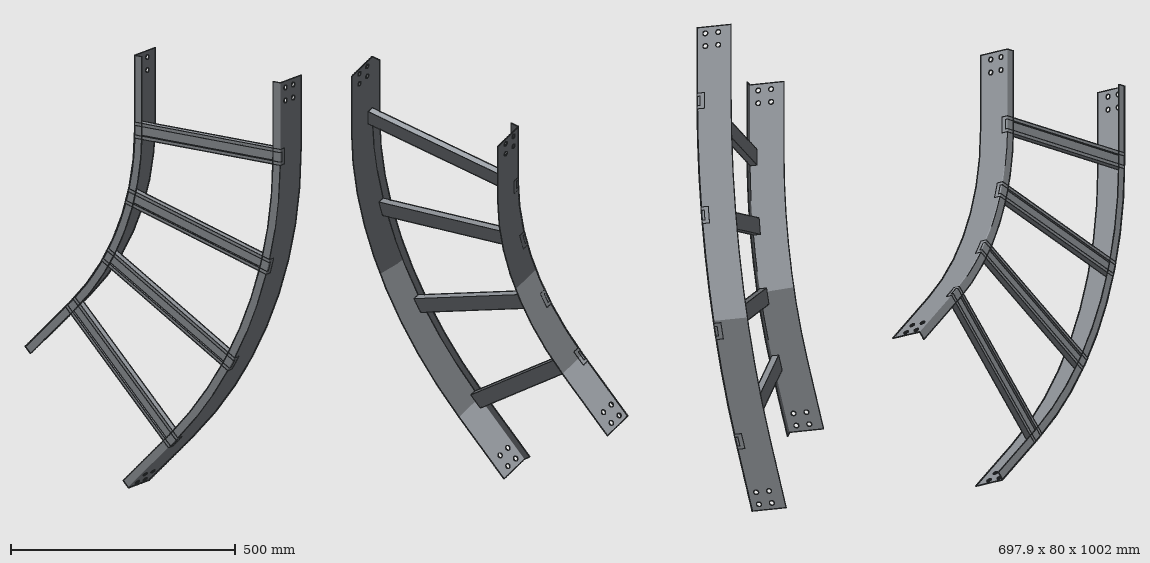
import cadquery as cq
import math

LENGTH_Z = 1002.0
BEND_ANGLE = 45.0
INNER_RADIUS = 600.0
TRAY_WIDTH = 400.0
OUTER_RADIUS = INNER_RADIUS + TRAY_WIDTH

BEND_SINE = math.sin(math.radians(BEND_ANGLE))
STRAIGHT_LENGTH = (LENGTH_Z - OUTER_RADIUS * BEND_SINE) / (1 + BEND_SINE)

RAIL_HEIGHT = 80.0
FLANGE_WIDTH = 21.0
SHEET = 1.5
FOLD_RADIUS = 2.0

RUNG_COUNT = 4
RUNG_WIDTH = 37.0
RUNG_DEPTH = 16.0
GROOVE_WIDTH = 22.0
GROOVE_DEPTH = 6.0

HOLE_DIAMETER = 11.0
HOLE_END_DISTANCES = (15.0, 45.0)
HOLE_HEIGHTS = (20.0, 50.0)

Y_AXIS = ((0, 0, 0), (0, 1, 0))


def turn(shape, angle):
    """Turn a shape about the bend axis, from +X towards -Z."""
    return shape.rotate(*Y_AXIS, angle)


def rail_section(web_x, inward):
    """L section with its web's outer face at web_x; inward is the flange's X direction."""
    flange_tip = web_x + inward * FLANGE_WIDTH
    fold_end = web_x + inward * FOLD_RADIUS
    return (
        cq.Workplane("XY")
        .moveTo(fold_end, 0)
        .lineTo(flange_tip, 0)
        .lineTo(flange_tip, SHEET)
        .lineTo(fold_end, SHEET)
        .radiusArc((web_x + inward * SHEET, FOLD_RADIUS), inward * (FOLD_RADIUS - SHEET))
        .lineTo(web_x + inward * SHEET, RAIL_HEIGHT)
        .lineTo(web_x, RAIL_HEIGHT)
        .lineTo(web_x, FOLD_RADIUS)
        .radiusArc((fold_end, 0), -inward * FOLD_RADIUS)
        .close()
    )


def splice_holes(web_x, end_direction):
    """Cutters through the web near the end of a straight running along Z."""
    points = [
        (height, end_direction * (STRAIGHT_LENGTH - distance))
        for height in HOLE_HEIGHTS
        for distance in HOLE_END_DISTANCES
    ]
    return (
        cq.Workplane("YZ", origin=(web_x, 0, 0))
        .pushPoints(points)
        .circle(HOLE_DIAMETER / 2)
        .extrude(2 * SHEET, both=True)
    )


def straight_end(web_x, inward, end_direction):
    """Straight rail piece starting at Z = 0, running up (1) or down (-1)."""
    piece = rail_section(web_x, inward).extrude(end_direction * STRAIGHT_LENGTH)
    return piece.cut(splice_holes(web_x, end_direction))


def rail(web_x, inward):
    """Bent rail between two straight ends."""
    upper = straight_end(web_x, inward, 1)
    lower = turn(straight_end(web_x, inward, -1), BEND_ANGLE)
    bend = rail_section(web_x, inward).revolve(BEND_ANGLE, *Y_AXIS)
    return upper.union(bend).union(lower)


def rung():
    """Rung along X at the start of the bend, ending halfway through each web."""
    length = TRAY_WIDTH - SHEET
    resting_plane = cq.Workplane(origin=((INNER_RADIUS + OUTER_RADIUS) / 2, SHEET, 0))
    on_flanges = (True, False, True)
    bar = resting_plane.box(length, RUNG_DEPTH, RUNG_WIDTH, centered=on_flanges)
    groove = resting_plane.box(length, GROOVE_DEPTH, GROOVE_WIDTH, centered=on_flanges)
    return bar.cut(groove)


result = rail(INNER_RADIUS, 1).union(rail(OUTER_RADIUS, -1))
for index in range(RUNG_COUNT):
    rung_angle = BEND_ANGLE * index / (RUNG_COUNT - 1)
    result = result.union(turn(rung(), rung_angle))